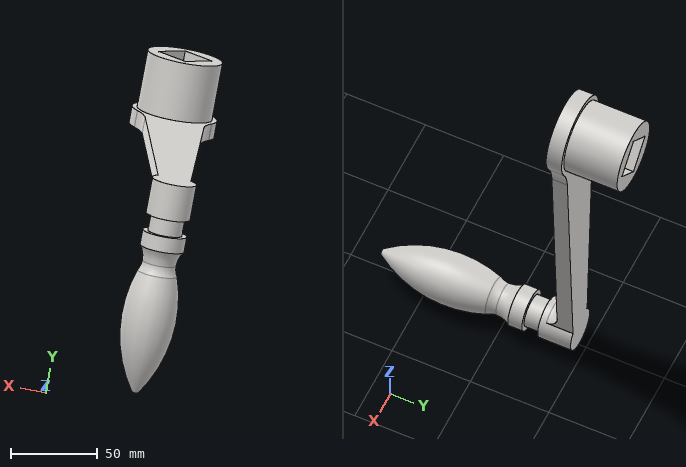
import cadquery as cq
import math


head_radius = 25.0
hub_radius = 22.0
hub_length = 34.0
square_side = 22.0
square_turn = 45.0

arm_thickness = 10.0
arm_length = 200.0
arm_half_width_at_head = 18.5
arm_half_width_at_grip = 9.2
head_blend_radius = 35.0

boss_radius = 13.0
boss_length = 21.0
boss_fillet_radius = 7.0

neck_radius = 10.0
collar_radius = 13.0
collar_start = 31.0
collar_end = 40.0
waist_radius = 10.0
waist_position = 49.0
belly_start = 55.0
belly_peak = 81.0
belly_radius = 16.0
belly_arc_radius = 80.0
grip_length = 126.5
tip_fillet_radius = 1.0

front_plane = cq.Workplane("XZ")

grip_profile_plane = cq.Workplane(cq.Plane(origin=(0, 0, 0), xDir=(0, 0, 1), normal=(-1, 0, 0)))


def circle_depth(radius, offset):
    """Distance a circle falls away from its tangent line at a given offset along it."""
    return radius - math.sqrt(radius**2 - offset**2)


def belly_profile_radius(position):
    return belly_radius - circle_depth(belly_arc_radius, position - belly_peak)


def arm_taper(thickness):
    return (
        front_plane.moveTo(-arm_half_width_at_head, 0)
        .lineTo(arm_half_width_at_head, 0)
        .lineTo(arm_half_width_at_grip, -arm_length)
        .lineTo(-arm_half_width_at_grip, -arm_length)
        .close()
        .extrude(thickness)
    )


def revolve_on_grip_axis(profile):
    """Turn a profile about Y and move it down to the grip axis."""
    return profile.close().revolve(360, (0, 0, 0), (0, 1, 0)).translate((0, 0, -arm_length))


def make_arm():
    head = front_plane.circle(head_radius).extrude(arm_thickness)
    arm = head.union(arm_taper(arm_thickness))
    corner_band = cq.selectors.BoxSelector(
        (-head_radius, -arm_thickness, -head_radius),
        (head_radius, 0, -head_radius / 2),
    )
    return arm.edges("|Y").edges(corner_band).fillet(head_blend_radius)


def make_hub():
    return front_plane.circle(hub_radius).extrude(-hub_length)


def make_boss():
    return front_plane.center(0, -arm_length).circle(boss_radius).extrude(boss_length)


def make_boss_fillet():
    """Concave fillet from the arm front face to the boss, only as wide as the arm."""
    fillet_end = arm_thickness + boss_fillet_radius
    outer_radius = boss_radius + boss_fillet_radius
    arc_offset = boss_fillet_radius * (1 - math.sqrt(0.5))
    ring = revolve_on_grip_axis(
        grip_profile_plane
        .moveTo(0, -arm_thickness)
        .lineTo(outer_radius, -arm_thickness)
        .threePointArc(
            (boss_radius + arc_offset, -arm_thickness - arc_offset),
            (boss_radius, -fillet_end),
        )
        .lineTo(0, -fillet_end)
    )
    return ring.intersect(arm_taper(fillet_end))


def make_grip():
    belly_start_radius = belly_profile_radius(belly_start)
    tip_radius = belly_profile_radius(grip_length)
    hollow_length = waist_position - collar_end
    hollow_depth = collar_radius - waist_radius
    hollow_radius = (hollow_length**2 + hollow_depth**2) / (2 * hollow_depth)
    hollow_mid_radius = waist_radius + circle_depth(hollow_radius, hollow_length / 2)
    grip = revolve_on_grip_axis(
        grip_profile_plane
        .moveTo(0, -boss_length)
        .lineTo(neck_radius, -boss_length)
        .lineTo(neck_radius, -collar_start)
        .lineTo(collar_radius, -collar_start)
        .lineTo(collar_radius, -collar_end)
        .threePointArc(
            (hollow_mid_radius, -(collar_end + waist_position) / 2),
            (waist_radius, -waist_position),
        )
        .tangentArcPoint((belly_start_radius, -belly_start), relative=False)
        .threePointArc((belly_radius, -belly_peak), (tip_radius, -grip_length))
        .lineTo(0, -grip_length)
    )
    return grip.faces("<Y").edges().fillet(tip_fillet_radius)


def make_square_hole():
    total_depth = hub_length + arm_thickness
    return (
        front_plane.workplane(offset=-hub_length)
        .transformed(rotate=(0, 0, square_turn))
        .rect(square_side, square_side)
        .extrude(total_depth)
    )


result = (
    make_arm()
    .union(make_hub())
    .union(make_boss())
    .union(make_boss_fillet())
    .union(make_grip())
    .cut(make_square_hole())
)